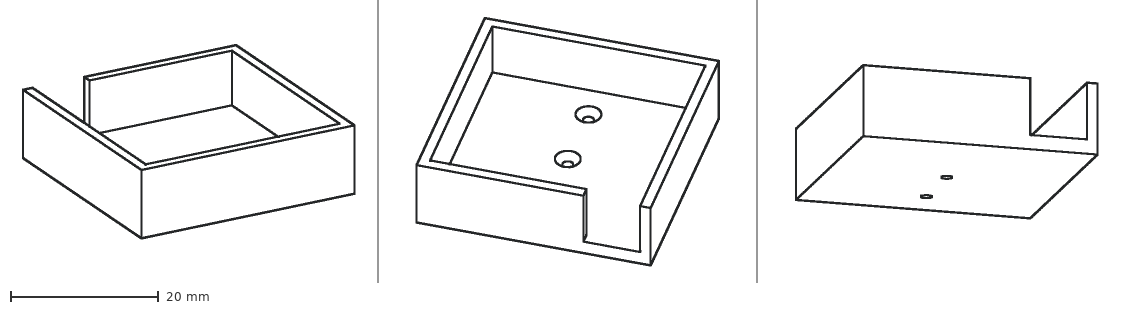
import cadquery as cq

side = 33.0
height = 10.0
wall = 1.5
floor = 2.0

notch_width = 8.0
notch_bottom = floor

hole_diameter = 1.5
sink_diameter = 3.5
sink_angle = 90.0
hole_spacing = 10.0

inner_side = side - 2 * wall


def make_tray():
    body = cq.Workplane("XY").box(side, side, height, centered=(True, True, False))
    cavity = (
        cq.Workplane("XY", origin=(0, 0, floor))
        .box(inner_side, inner_side, height - floor, centered=(True, True, False))
    )
    return body.cut(cavity)


def make_notch():
    return (
        cq.Workplane("XY", origin=(-side / 2, -inner_side / 2, notch_bottom))
        .box(wall, notch_width, height - notch_bottom, centered=False)
    )


def drill_holes(tray):
    return (
        tray.copyWorkplane(cq.Workplane("XY", origin=(0, 0, floor)))
        .pushPoints([(0, 0), (hole_spacing, 0)])
        .cskHole(hole_diameter, sink_diameter, sink_angle)
    )


result = drill_holes(make_tray().cut(make_notch()))